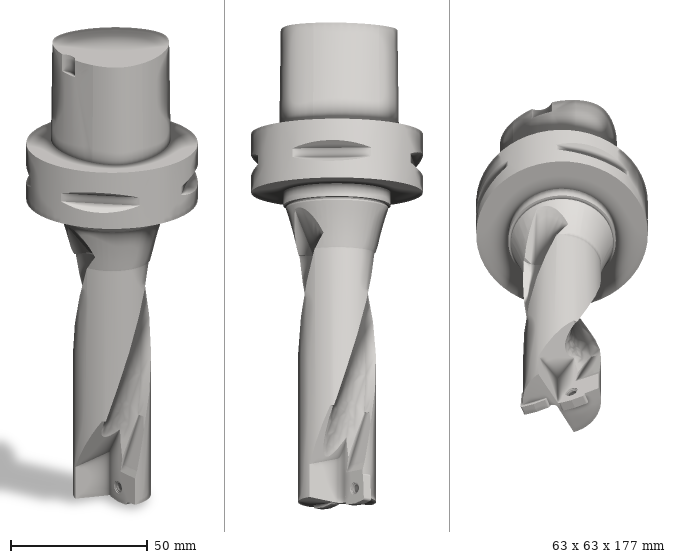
import cadquery as cq
import math

TOTAL_HEIGHT = 177.0
FLANGE_TOP = 139.1
FLANGE_BOTTOM = 117.2
NECK_BOTTOM = 112.4
GROOVE_BOTTOM = 111.7
FLARE_TOP = 111.1
FLARE_MIDDLE = 102.3
FLARE_BOTTOM = 94.3
RIM_HEIGHT = 2.0
POINT_HEIGHT = 0.9

FLANGE_RADIUS = 63.0 / 2
NECK_RADIUS = 39.5 / 2
GROOVE_RADIUS = 36.5 / 2
FLARE_RADIUS = 18.8
FLARE_MIDDLE_RADIUS = 16.1
DRILL_RADIUS = 14.3

LOBE_MEAN_RADIUS = 22.0
LOBE_HEIGHT = 1.5
SHANK_TAPER_INSET = 0.5
LOBE_HALF_ANGLE = 36
POINTS_PER_FACE = 9

NOTCH_RADIUS = 5.5
NOTCH_DEPTH = 2.0
NOTCH_LENGTH = 6.5

GRIPPER_COUNT = 4
GRIPPER_START_ANGLE = 45
GRIPPER_CENTRE = 127.3
GRIPPER_DEPTH = 3.5
GRIPPER_FLOOR_WIDTH = 3.2
GRIPPER_MOUTH_WIDTH = 7.8

FLUTE_ANGLES = (0, 180)
FLUTE_START = 14.2
FLUTE_TWIST_RATE = 1.328
FLUTE_END_ANGLE = 67.5
FLUTE_TRAILING_X = -8.1
FLUTE_TRAILING_DEPTH = 11.7
FLUTE_FLOOR_X = -1.0
FLUTE_FLOOR_RADIUS = 4.6
FLUTE_WALL_X = 6.9
FLUTE_WALL_DEPTH = 8.0
FLUTE_MOUTH_X = 11.3
FLUTE_MOUTH = 17.7
RUNOUT_ANGLE = 72
RUNOUT_HALF_WIDTH = 7.8
RUNOUT_WALL_DEPTH = 6.0
RUNOUT_MOUTH = 24.8
RUNOUT_HEIGHT = 21.2
RUNOUT_OUTWARD = 0.8
RUNOUT_SIDEWAYS = 0.7

POCKET_TOP = 13.3
POCKET_REACH = 17.7
POCKET_CORNER_X = -1.6
POCKET_MOUTH_X = -4.5
OUTER_POCKET_CORNER_X = 2.5
OUTER_POCKET_MOUTH_X = 0.7
OUTER_POCKET_FILLET = 1.8
RAMP_TOP = 35.4
RAMP_TOP_X = 9.0
FACET_BOTTOM_X = 5.3
FACET_TOP_X = 9.4
FACET_STEP_BOTTOM = 12.2
FACET_STEP_TOP = 14.9
FACET_STEP_DEPTH = 0.9
FACET_TOP = 34.5
FACET_TOP_DEPTH = 5.7

INSERT_WIDTH = 10.3
INSERT_HEIGHT = 10.6
INSERT_THICKNESS = 3.5
INSERT_POINT_RISE = 0.5
INSERT_CORNER_RADIUS = 0.9
INSERT_TILT = 3
SCREW_HEIGHT = 5.7
SCREW_STEPS = ((4.8, 0.4), (4.0, 0.7), (3.0, 1.5))
INNER_INSERT_X = 3.7
OUTER_INSERT_X = 9.9


def turn(part, angle):
    """The part turned about Z."""
    return part.rotate((0, 0, 0), (0, 0, 1), angle)


def turned_body():
    """Drill shank, flare, neck and flange turned about Z."""
    return (
        cq.Workplane("XZ")
        .moveTo(0, POINT_HEIGHT)
        .lineTo(DRILL_RADIUS, RIM_HEIGHT)
        .lineTo(DRILL_RADIUS, FLARE_BOTTOM)
        .threePointArc((FLARE_MIDDLE_RADIUS, FLARE_MIDDLE), (FLARE_RADIUS, FLARE_TOP))
        .lineTo(FLARE_RADIUS, GROOVE_BOTTOM)
        .lineTo(GROOVE_RADIUS, GROOVE_BOTTOM)
        .lineTo(GROOVE_RADIUS, NECK_BOTTOM)
        .lineTo(NECK_RADIUS, NECK_BOTTOM)
        .lineTo(NECK_RADIUS, FLANGE_BOTTOM)
        .lineTo(FLANGE_RADIUS, FLANGE_BOTTOM)
        .lineTo(FLANGE_RADIUS, FLANGE_TOP)
        .lineTo(0, FLANGE_TOP)
        .close()
        .revolve(360, (0, 0), (0, 1))
    )


def lobe_point(angle, mean_radius, height):
    """Point of a three-lobed curve whose outward normal lies at this angle from +Y."""
    phi = math.radians(angle)
    support = mean_radius + LOBE_HEIGHT * math.cos(3 * phi)
    slope = -3 * LOBE_HEIGHT * math.sin(3 * phi)
    x = support * math.sin(phi) + slope * math.cos(phi)
    y = support * math.cos(phi) - slope * math.sin(phi)
    return cq.Vector(x, y, height)


def lobe_wire(mean_radius, height):
    """Closed three-lobed outline with one curve per lobe and one per flank."""
    edges = []
    for lobe in (0, 120, 240):
        lobe_start = lobe - LOBE_HALF_ANGLE
        lobe_end = lobe + LOBE_HALF_ANGLE
        for first, last in ((lobe_start, lobe_end), (lobe_end, lobe_start + 120)):
            step = (last - first) / (POINTS_PER_FACE - 1)
            points = [lobe_point(first + i * step, mean_radius, height) for i in range(POINTS_PER_FACE)]
            edges.append(cq.Edge.makeSpline(points))
    return cq.Wire.assembleEdges(edges)


def polygon_shank():
    """Tapered three-lobed shank with its orientation notch."""
    base = lobe_wire(LOBE_MEAN_RADIUS, FLANGE_TOP)
    top_mean_radius = LOBE_MEAN_RADIUS - SHANK_TAPER_INSET
    top = lobe_wire(top_mean_radius, TOTAL_HEIGHT)
    shank = cq.Workplane(cq.Solid.makeLoft([base, top], True))
    notch_y = -(top_mean_radius - LOBE_HEIGHT - NOTCH_DEPTH + NOTCH_RADIUS)
    notch = (
        cq.Workplane("XY", origin=(0, notch_y, TOTAL_HEIGHT - NOTCH_LENGTH))
        .circle(NOTCH_RADIUS)
        .extrude(NOTCH_LENGTH)
    )
    return shank.cut(notch)


def gripper_groove():
    """Straight trapezoidal groove across the -Y side of the flange."""
    floor = FLANGE_RADIUS - GRIPPER_DEPTH
    flank_slope = (GRIPPER_MOUTH_WIDTH - GRIPPER_FLOOR_WIDTH) / 2 / GRIPPER_DEPTH
    outside = FLANGE_RADIUS + GRIPPER_DEPTH
    half_floor = GRIPPER_FLOOR_WIDTH / 2
    half_outside = half_floor + flank_slope * (outside - floor)
    return (
        cq.Workplane("YZ", origin=(0, 0, GRIPPER_CENTRE))
        .polyline([
            (-floor, -half_floor),
            (-floor, half_floor),
            (-outside, half_outside),
            (-outside, -half_outside),
        ])
        .close()
        .extrude(FLANGE_RADIUS, both=True)
    )


def flute_profile(height):
    """Flute section opening towards -Y, with its splayed wall on the +X side."""
    return (
        cq.Workplane("XY", origin=(0, 0, height))
        .moveTo(FLUTE_TRAILING_X, -FLUTE_MOUTH)
        .lineTo(FLUTE_TRAILING_X, -FLUTE_TRAILING_DEPTH)
        .threePointArc((FLUTE_FLOOR_X, -FLUTE_FLOOR_RADIUS), (FLUTE_WALL_X, -FLUTE_WALL_DEPTH))
        .lineTo(FLUTE_MOUTH_X, -FLUTE_MOUTH)
        .close()
    )


def helical_flute():
    """Flute twisted about Z, ending at the foot of the flare."""
    length = FLARE_BOTTOM - FLUTE_START
    twist = FLUTE_TWIST_RATE * length
    flute = flute_profile(FLUTE_START).twistExtrude(length, twist)
    return turn(flute, FLUTE_END_ANGLE - 90 - twist)


def flute_runout():
    """Straight channel that carries a flute outwards through the flare."""
    outline = (
        cq.Workplane("XY", origin=(0, 0, FLARE_BOTTOM))
        .moveTo(-RUNOUT_HALF_WIDTH, -RUNOUT_MOUTH)
        .lineTo(-RUNOUT_HALF_WIDTH, -RUNOUT_WALL_DEPTH)
        .threePointArc((0, -FLUTE_FLOOR_RADIUS), (RUNOUT_HALF_WIDTH, -RUNOUT_WALL_DEPTH))
        .lineTo(RUNOUT_HALF_WIDTH, -RUNOUT_MOUTH)
        .close()
        .val()
    )
    slant = cq.Vector(RUNOUT_SIDEWAYS, -RUNOUT_OUTWARD, 1) * RUNOUT_HEIGHT
    runout = cq.Workplane(cq.Solid.extrudeLinear(outline, [], slant))
    return turn(runout, RUNOUT_ANGLE - 90)


def chip_pocket(corner_x, mouth_x, corner_radius):
    """Pocket open to -Y, with a ramped upper end, and the tilted facet above its floor."""
    pocket = (
        cq.Workplane("XY")
        .polyline([
            (corner_x, 0),
            (POCKET_REACH, 0),
            (POCKET_REACH, -POCKET_REACH),
            (mouth_x, -POCKET_REACH),
        ])
        .close()
        .extrude(RAMP_TOP)
    )
    if corner_radius > 0:
        inner_edge = cq.selectors.NearestToPointSelector((corner_x, 0, RAMP_TOP / 2))
        pocket = pocket.edges(inner_edge).fillet(corner_radius)
    ramp_outline = (
        cq.Workplane("XZ")
        .polyline([
            (mouth_x, 0),
            (mouth_x, POCKET_TOP),
            (RAMP_TOP_X, RAMP_TOP),
            (POCKET_REACH, RAMP_TOP),
            (POCKET_REACH, 0),
        ])
        .close()
        .extrude(POCKET_REACH)
    )
    pocket = pocket.intersect(ramp_outline)
    facet = (
        cq.Workplane("YZ")
        .polyline([
            (0, FACET_STEP_BOTTOM),
            (FACET_STEP_DEPTH, FACET_STEP_TOP),
            (FACET_TOP_DEPTH, FACET_TOP),
            (-POCKET_REACH, FACET_TOP),
            (-POCKET_REACH, FACET_STEP_BOTTOM),
        ])
        .close()
        .extrude(POCKET_REACH)
    )
    facet_outline = (
        cq.Workplane("XZ")
        .polyline([
            (FACET_BOTTOM_X, FACET_STEP_BOTTOM),
            (FACET_TOP_X, FACET_TOP),
            (POCKET_REACH, FACET_TOP),
            (POCKET_REACH, FACET_STEP_BOTTOM),
        ])
        .close()
        .extrude(POCKET_REACH, both=True)
    )
    facet = facet.intersect(facet_outline)
    return [pocket, facet]


def insert_blank(centre_x, tilt):
    """Solid insert with its face on the XZ plane, facing -Y, and its point on Z = 0."""
    half_width = INSERT_WIDTH / 2
    blank = (
        cq.Workplane("XZ")
        .polyline([
            (0, 0),
            (half_width, INSERT_POINT_RISE),
            (half_width, INSERT_HEIGHT),
            (-half_width, INSERT_HEIGHT),
            (-half_width, INSERT_POINT_RISE),
        ])
        .close()
        .extrude(-INSERT_THICKNESS)
        .edges("|Y and (>X or <X)")
        .fillet(INSERT_CORNER_RADIUS)
    )
    return blank.rotate((0, 0, 0), (0, 1, 0), tilt).translate((centre_x, 0, 0))


def cutting_insert(centre_x, tilt):
    """Insert with its stepped screw recess."""
    insert = insert_blank(centre_x, tilt)
    for diameter, depth in SCREW_STEPS:
        recess = (
            cq.Workplane("XZ", origin=(centre_x, 0, SCREW_HEIGHT))
            .circle(diameter / 2)
            .extrude(-depth)
        )
        insert = insert.cut(recess)
    return insert


INSERT_PLACES = ((0, INNER_INSERT_X, INSERT_TILT), (180, OUTER_INSERT_X, -INSERT_TILT))
POCKET_PLACES = (
    (0, POCKET_CORNER_X, POCKET_MOUTH_X, 0),
    (180, OUTER_POCKET_CORNER_X, OUTER_POCKET_MOUTH_X, OUTER_POCKET_FILLET),
)

drill_body = turned_body().union(polygon_shank())
for index in range(GRIPPER_COUNT):
    drill_body = drill_body.cut(turn(gripper_groove(), GRIPPER_START_ANGLE + index * 360 / GRIPPER_COUNT))
for angle in FLUTE_ANGLES:
    for cutter in (helical_flute(), flute_runout()):
        drill_body = drill_body.cut(turn(cutter, angle))
for angle, corner_x, mouth_x, corner_radius in POCKET_PLACES:
    for cutter in chip_pocket(corner_x, mouth_x, corner_radius):
        drill_body = drill_body.cut(turn(cutter, angle))
for angle, centre_x, tilt in INSERT_PLACES:
    drill_body = drill_body.cut(turn(insert_blank(centre_x, tilt), angle))

inserts = [turn(cutting_insert(centre_x, tilt), angle) for angle, centre_x, tilt in INSERT_PLACES]

result = cq.Compound.makeCompound([drill_body.solids().val(), *[insert.val() for insert in inserts]])